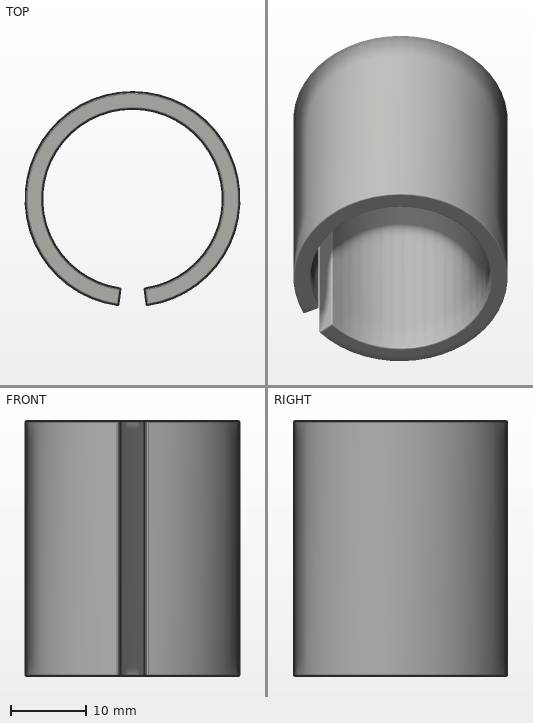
import cadquery as cq
import math

length = 34.0
outer_radius = 14.28
inner_radius = 12.0
slot_angle = 15.0
edge_radius = 0.2


def make_tube():
    return cq.Workplane("XY").circle(outer_radius).circle(inner_radius).extrude(length)


def make_slot_cutter():
    """Wedge with its tip on the tube axis, so both slot faces are radial."""
    reach = 2 * outer_radius
    half_width = reach * math.tan(math.radians(slot_angle / 2))
    wedge = [(0, 0), (-half_width, -reach), (half_width, -reach)]
    return cq.Workplane("XY").polyline(wedge).close().extrude(length)


split_sleeve = make_tube().cut(make_slot_cutter())
result = split_sleeve.edges().fillet(edge_radius).translate((0, 0, -length / 2))